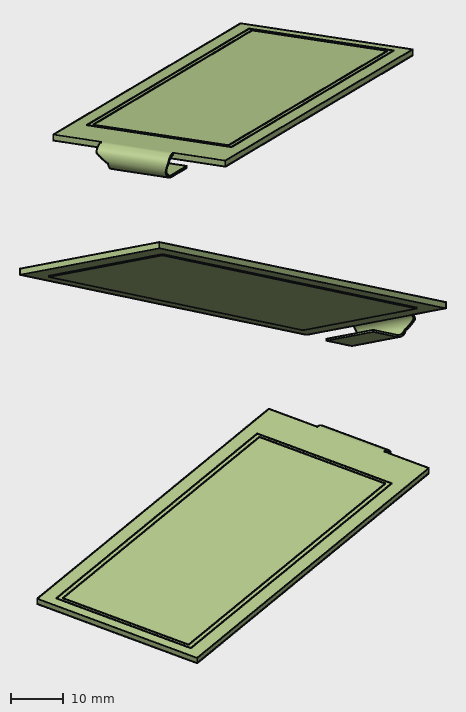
import cadquery as cq

total_length = 81.5
total_height = 5.0
plate_width = 36.7

plate_thickness = 1.2
bend_radius = total_height / 2
tab_thickness = 0.4
tab_return_length = 6.7
plate_length = total_length - bend_radius

tab_left, tab_right = -8.1, 7.25
tab_end_left, tab_end_right = -5.55, 6.8
taper_top, taper_bottom = 3.5, 1.6

pad_thickness = 0.25
pad_side_margin = 3.4
pad_back_margin = 4.4
pad_front_margin = 4.6

frame_side_margin = 2.9
frame_back_margin = 2.2
frame_front_margin = 8.3
groove_side_width = 1.0
groove_end_width = 0.7
groove_depth = 0.1

plate_bottom = total_height - plate_thickness


def inset_block(side, back, front, bottom, height):
    """Block with the given margins from the plate's edges."""
    width = plate_width - 2 * side
    length = plate_length - back - front
    block = cq.Workplane("XY").box(width, length, height, centered=(True, False, False))
    return block.translate((0, front, bottom))


def folded_tab():
    """J-shaped strip, trimmed to the tapering tab outline."""
    inner_radius = bend_radius - tab_thickness
    strip = (
        cq.Workplane("YZ", origin=(tab_left, 0, 0))
        .moveTo(tab_return_length, 0)
        .lineTo(0, 0)
        .threePointArc((-bend_radius, bend_radius), (0, total_height))
        .lineTo(tab_thickness, total_height)
        .lineTo(tab_thickness, total_height - tab_thickness)
        .lineTo(0, total_height - tab_thickness)
        .threePointArc((-inner_radius, bend_radius), (0, tab_thickness))
        .lineTo(tab_return_length, tab_thickness)
        .close()
        .extrude(tab_right - tab_left)
    )
    outline = (
        cq.Workplane("XZ")
        .polyline([
            (tab_left, total_height),
            (tab_left, taper_top),
            (tab_end_left, taper_bottom),
            (tab_end_left, 0),
            (tab_end_right, 0),
            (tab_end_right, taper_bottom),
            (tab_right, taper_top),
            (tab_right, total_height),
        ])
        .close()
        .extrude(total_length, both=True)
    )
    return strip.intersect(outline)


def frame_groove():
    """Ring between two rectangles, sunk into the top face."""
    bottom = total_height - groove_depth
    outer = inset_block(
        frame_side_margin, frame_back_margin, frame_front_margin, bottom, groove_depth
    )
    inner = inset_block(
        frame_side_margin + groove_side_width,
        frame_back_margin + groove_end_width,
        frame_front_margin + groove_end_width,
        bottom,
        groove_depth,
    )
    return outer.cut(inner)


plate = inset_block(0, 0, 0, plate_bottom, plate_thickness)
pad = inset_block(
    pad_side_margin,
    pad_back_margin,
    pad_front_margin,
    plate_bottom - pad_thickness,
    pad_thickness,
)

result = plate.union(pad).union(folded_tab()).cut(frame_groove())